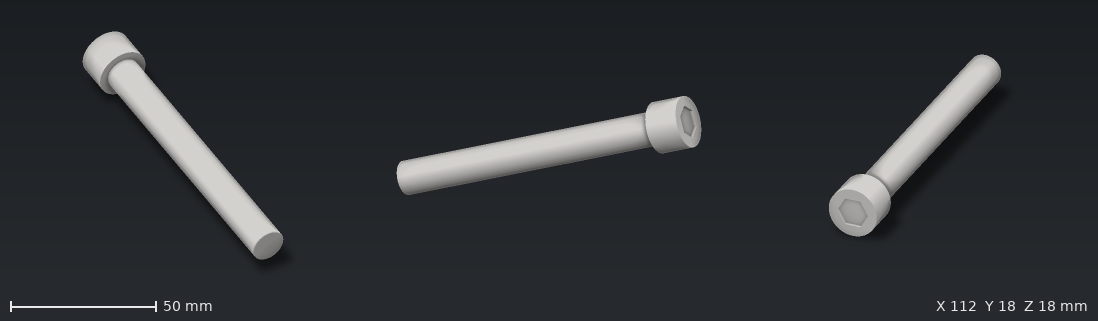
import cadquery as cq
import math

total_length = 112.0
head_diameter = 18.0
head_length = 12.0
shank_diameter = 12.0
tip_chamfer = 0.2
socket_across_flats = 10.0
socket_depth = 1.0

shank_length = total_length - head_length


def make_head():
    """Plain cylinder ending at the bearing face, X = 0."""
    return cq.Workplane("YZ").circle(head_diameter / 2).extrude(-head_length)


def make_shank():
    """Cylinder from the bearing face to the chamfered tip."""
    shank = cq.Workplane("YZ").circle(shank_diameter / 2).extrude(shank_length)
    return shank.faces(">X").chamfer(tip_chamfer)


def make_socket():
    """Hexagonal key socket with two corners on the Y axis."""
    across_corners = socket_across_flats / math.cos(math.radians(30))
    return (
        cq.Workplane("YZ")
        .workplane(offset=-head_length)
        .polygon(6, across_corners)
        .extrude(socket_depth)
    )


result = make_head().union(make_shank()).cut(make_socket())